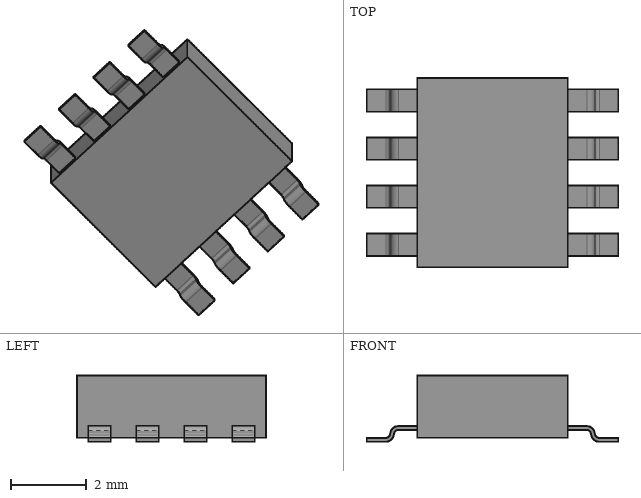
import cadquery as cq
import math

span_x = 6.64
total_height = 1.75

body_x = 3.985
body_y = 5.0
standoff = 0.105
body_height = total_height - standoff

leads_per_side = 4
lead_pitch = 1.27
lead_width = 0.6
lead_thickness = 0.105
lead_top = 0.42
foot_length = 0.505
inner_radius = 0.105
bend_angle = 75.0

lead_length = (span_x - body_x) / 2
outer_radius = inner_radius + lead_thickness
turn = math.radians(bend_angle)
lead_drop = lead_top - lead_thickness
bend_radii = inner_radius + outer_radius
leg_length = (lead_drop - bend_radii * (1 - math.cos(turn))) / math.sin(turn)
bend_run = bend_radii * math.sin(turn) + leg_length * math.cos(turn)
shoulder_length = lead_length - foot_length - bend_run


def point_on_bend(center, radius, angle):
    """Point at the given angle (degrees from horizontal) on a bend."""
    a = math.radians(angle)
    return (center[0] + radius * math.cos(a), center[1] + radius * math.sin(a))


def make_housing():
    """Plain rectangular housing raised above the feet."""
    block = cq.Workplane("XY").box(body_x, body_y, body_height, centered=(True, True, False))
    return block.translate((0, 0, standoff))


def make_lead():
    """Lead on the +X side, centred on Y = 0, from the housing side to the tip of the foot."""
    face_x = body_x / 2
    tip_x = span_x / 2
    upper_center = (face_x + shoulder_length, lead_top - outer_radius)
    lower_center = (tip_x - foot_length, outer_radius)

    upper_flat, upper_leg = 90, 90 - bend_angle
    lower_flat, lower_leg = 270, 270 - bend_angle
    upper_mid = (upper_flat + upper_leg) / 2
    lower_mid = (lower_flat + lower_leg) / 2

    outline = (
        cq.Workplane("XZ")
        .moveTo(face_x, lead_top)
        .lineTo(*point_on_bend(upper_center, outer_radius, upper_flat))
        .threePointArc(
            point_on_bend(upper_center, outer_radius, upper_mid),
            point_on_bend(upper_center, outer_radius, upper_leg),
        )
        .lineTo(*point_on_bend(lower_center, inner_radius, lower_leg))
        .threePointArc(
            point_on_bend(lower_center, inner_radius, lower_mid),
            point_on_bend(lower_center, inner_radius, lower_flat),
        )
        .lineTo(tip_x, lead_thickness)
        .lineTo(tip_x, 0)
        .lineTo(*point_on_bend(lower_center, outer_radius, lower_flat))
        .threePointArc(
            point_on_bend(lower_center, outer_radius, lower_mid),
            point_on_bend(lower_center, outer_radius, lower_leg),
        )
        .lineTo(*point_on_bend(upper_center, inner_radius, upper_leg))
        .threePointArc(
            point_on_bend(upper_center, inner_radius, upper_mid),
            point_on_bend(upper_center, inner_radius, upper_flat),
        )
        .lineTo(face_x, lead_top - lead_thickness)
        .close()
    )
    return outline.extrude(lead_width / 2, both=True)


housing = make_housing()

right_lead = make_lead()
left_lead = right_lead.mirror("YZ")
leads = []
for row_lead in (left_lead, right_lead):
    for i in range(leads_per_side):
        lead_y = (i - (leads_per_side - 1) / 2) * lead_pitch
        leads.append(row_lead.translate((0, lead_y, 0)).val())

result = cq.Compound.makeCompound([housing.val(), *leads])